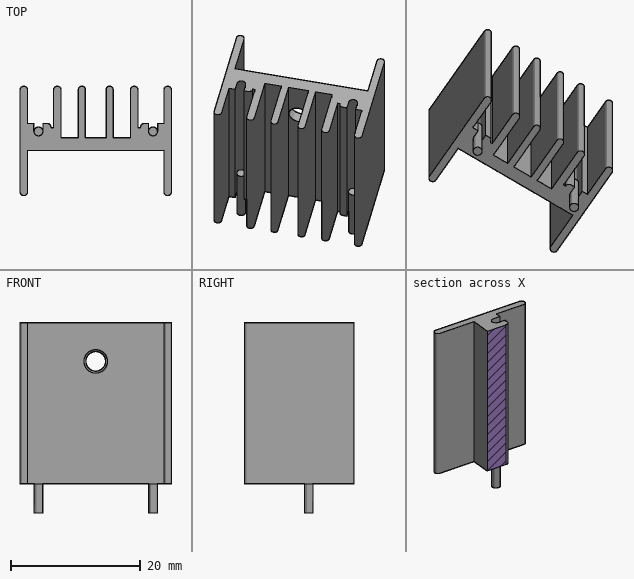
import cadquery as cq

total_height = 29.5
sink_height = 25.0
sink_width = 23.5
sink_depth = 17.0

plate_front = -1.5
plate_back = 0.5

wall_thickness = 1.2
outer_fin_thickness = 1.2
inner_fin_thickness = 1.12
outer_fin_x = 5.95
inner_fin_x = 2.15

shelf_back = 2.7
shelf_step_back = 2.06
shelf_inner_x = 6.93
shelf_edge_radius = 0.6

pin_diameter = 1.4
pin_x = 8.88
pin_y = 1.48
pin_protrusion = total_height - sink_height
pin_insertion = pin_protrusion

hole_diameter = 3.0
countersink_diameter = 3.65
hole_drop = 6.0
countersink_depth = (countersink_diameter - hole_diameter) / 2

wall_x = (sink_width - wall_thickness) / 2
back_edge = sink_depth / 2


def block(x_min, x_max, y_min, y_max):
    """Rectangular prism over the full height of the heat sink."""
    return (
        cq.Workplane("XY")
        .box(x_max - x_min, y_max - y_min, sink_height, centered=False)
        .translate((x_min, y_min, 0))
    )


def make_wall(x):
    """Side wall with rounded front and back tips."""
    return (
        cq.Workplane("XY")
        .center(x, 0)
        .slot2D(sink_depth, wall_thickness, 90)
        .extrude(sink_height)
    )


def make_fin(x, thickness):
    """Fin rising from the plate to a rounded back tip."""
    radius = thickness / 2
    return (
        cq.Workplane("XY")
        .moveTo(x - radius, plate_front)
        .lineTo(x - radius, back_edge - radius)
        .threePointArc((x, back_edge), (x + radius, back_edge - radius))
        .lineTo(x + radius, plate_front)
        .close()
        .extrude(sink_height)
    )


def make_right_shelf():
    """Shelf between the right wall and fin, with a lower step beside the fin."""
    shelf = block(shelf_inner_x, wall_x, plate_front, shelf_back)
    shelf = shelf.edges("|Z and <X and >Y").fillet(shelf_edge_radius)
    step = block(outer_fin_x, wall_x, plate_front, shelf_step_back)
    return shelf.union(step)


def make_pin_slot(x):
    """Round-bottomed slot, as wide as the pin and open towards the back."""
    radius = pin_diameter / 2
    return (
        cq.Workplane("XY")
        .moveTo(x - radius, shelf_back)
        .lineTo(x - radius, pin_y)
        .threePointArc((x, pin_y - radius), (x + radius, pin_y))
        .lineTo(x + radius, shelf_back)
        .close()
        .extrude(sink_height)
    )


def make_mounting_hole():
    """Through hole in the plate with a 45 degree countersink."""
    front_face = cq.Workplane("XZ", origin=(0, plate_front, sink_height - hole_drop))
    bore = front_face.circle(hole_diameter / 2).extrude(plate_front - plate_back)
    cone = cq.Workplane(
        cq.Solid.makeCone(
            countersink_diameter / 2,
            hole_diameter / 2,
            countersink_depth,
            cq.Vector(0, plate_front, sink_height - hole_drop),
            cq.Vector(0, 1, 0),
        )
    )
    return bore.union(cone)


def make_heat_sink():
    """Extruded heat sink with its walls, fins, pin slots and mounting hole."""
    sink = block(-wall_x, wall_x, plate_front, plate_back)
    right_shelf = make_right_shelf()
    sink = sink.union(right_shelf).union(right_shelf.mirror("YZ"))
    for side in (-1, 1):
        sink = sink.union(make_wall(side * wall_x))
        sink = sink.union(make_fin(side * outer_fin_x, outer_fin_thickness))
        sink = sink.union(make_fin(side * inner_fin_x, inner_fin_thickness))
    for side in (-1, 1):
        sink = sink.cut(make_pin_slot(side * pin_x))
    return sink.cut(make_mounting_hole())


def make_pin(x):
    """Round pin held in the lower end of its slot."""
    return (
        cq.Workplane("XY", origin=(x, pin_y, -pin_protrusion))
        .circle(pin_diameter / 2)
        .extrude(pin_protrusion + pin_insertion)
    )


heat_sink = make_heat_sink()
pins = [make_pin(side * pin_x) for side in (-1, 1)]

result = cq.Compound.makeCompound([heat_sink.solids().val(), *[pin.val() for pin in pins]])